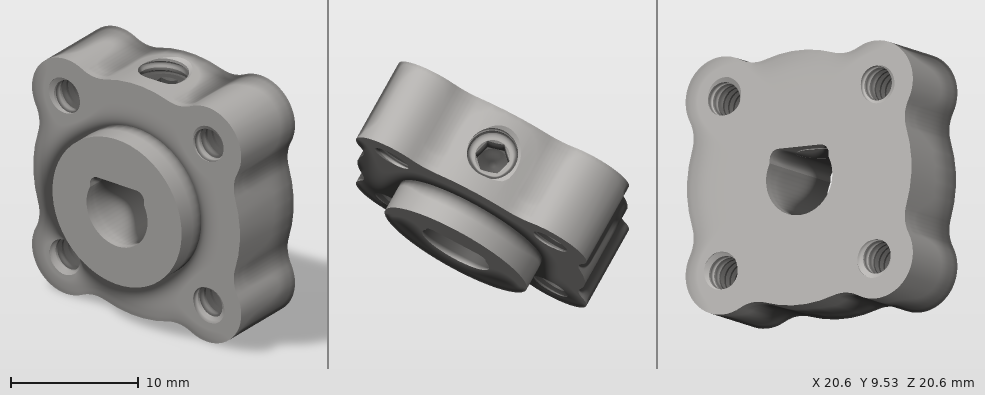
import cadquery as cq
import math

corner_count = 4
corner_step = 360 / corner_count
first_corner_angle = corner_step / 2
hole_circle_radius = 9.78
plate_size = 20.57
corner_radius = plate_size / 2 - hole_circle_radius * math.cos(math.radians(first_corner_angle))
bulge_radius = 10.16
waist_radius = 3.0
plate_thickness = 6.985
boss_diameter = 12.7
boss_height = 2.54
hub_length = plate_thickness + boss_height

bore_diameter = 6.0
bore_flat_height = 2.46
bore_corner_half_width = 2.67
bore_corner_radius = 0.78

thread_pitch = 25.4 / 32
thread_flank_angle = math.radians(30)
thread_root_flat = thread_pitch / 8
thread_overlap = 0.15
corner_minor_diameter = 2.70
corner_major_diameter = 3.505
corner_groove_lead = 12
clamp_minor_diameter = 4.03
clamp_major_diameter = 4.83
clamp_groove_angle = 50

screw_clearance = 0.05
screw_radius = clamp_minor_diameter / 2 - screw_clearance
screw_axis_y = plate_thickness / 2
screw_top = 8.73
screw_bottom = bore_flat_height
hex_half_side_angle = 30
hex_corner_angle = 45 + hex_half_side_angle
hex_width = 2.38
hex_corner_diameter = hex_width / math.cos(math.radians(hex_half_side_angle))
socket_depth = 2.0
socket_tip_half_angle = math.radians(59)
socket_mouth_half_angle = math.radians(45)


def polar(radius, degrees):
    """Coordinates of a point given by its radius and angle."""
    angle = math.radians(degrees)
    return (radius * math.cos(angle), radius * math.sin(angle))


def tap_cutter(minor_diameter, major_diameter, depth):
    """Right-hand tap along Z, reaching below the origin by the depth and above it by one pitch.

    The thread groove crosses Z = 0 on the +X side.
    """
    inner = minor_diameter / 2 - thread_overlap
    outer = major_diameter / 2
    root_half = thread_root_flat / 2
    mouth_half = root_half + (outer - inner) * math.tan(thread_flank_angle)
    turns_below = math.ceil(depth / thread_pitch) + 1
    bottom = -turns_below * thread_pitch
    length = (turns_below + 1) * thread_pitch

    core = cq.Workplane("XY", origin=(0, 0, bottom)).circle(minor_diameter / 2).extrude(length)
    helix = cq.Wire.makeHelix(thread_pitch, length, inner, center=cq.Vector(0, 0, bottom))
    groove = (
        cq.Workplane("XZ")
        .polyline([
            (inner, bottom - mouth_half),
            (outer, bottom - root_half),
            (outer, bottom + root_half),
            (inner, bottom + mouth_half),
        ])
        .close()
        .sweep(cq.Workplane(helix), isFrenet=True)
    )
    return core.union(groove)


def cut_tap(solid, tap, plane):
    """Cut the solid with a tap moved so that its Z axis is the plane's normal."""
    return solid.cut(cq.Workplane(tap.val().moved(plane.location)))


def plate_outline():
    """Square with round corner lobes and bulged edges, joined by tangent hollows."""
    hollow_distance = bulge_radius + waist_radius
    centre_gap = corner_radius + waist_radius
    hollow_offset = math.degrees(math.acos(
        (hole_circle_radius**2 + hollow_distance**2 - centre_gap**2)
        / (2 * hole_circle_radius * hollow_distance)
    ))

    def lobe_tangent(lobe_angle, hollow_angle):
        """Point where a lobe passes into a hollow."""
        lobe = cq.Vector(*polar(hole_circle_radius, lobe_angle))
        hollow = cq.Vector(*polar(hollow_distance, hollow_angle))
        return (lobe + (hollow - lobe) * (corner_radius / centre_gap)).toTuple()[:2]

    first_bulge_start = polar(bulge_radius, first_corner_angle - corner_step + hollow_offset)
    outline = cq.Workplane("XZ").moveTo(*first_bulge_start)
    for corner in range(corner_count):
        lobe_angle = first_corner_angle + corner * corner_step
        hollow_before = lobe_angle - hollow_offset
        hollow_after = lobe_angle + hollow_offset
        bulge_middle = polar(bulge_radius, lobe_angle - corner_step / 2)
        lobe_middle = polar(hole_circle_radius + corner_radius, lobe_angle)
        outline = (
            outline.threePointArc(bulge_middle, polar(bulge_radius, hollow_before))
            .radiusArc(lobe_tangent(lobe_angle, hollow_before), waist_radius)
            .threePointArc(lobe_middle, lobe_tangent(lobe_angle, hollow_after))
            .radiusArc(polar(bulge_radius, hollow_after), waist_radius)
        )
    return outline.close()


def bore_cutter():
    """Round bore flattened on top, with rounded corners standing outside the circle."""
    circle = cq.Workplane("XZ", origin=(0, plate_thickness, 0)).circle(bore_diameter / 2).extrude(hub_length)
    above_flat = (
        cq.Workplane("XZ", origin=(0, plate_thickness, bore_flat_height))
        .rect(bore_diameter, bore_diameter - bore_flat_height)
        .extrude(hub_length)
        .translate((0, 0, (bore_diameter - bore_flat_height) / 2))
    )
    corners = (
        cq.Workplane("XZ", origin=(0, plate_thickness, bore_flat_height / 2))
        .rect(2 * bore_corner_half_width, bore_flat_height)
        .extrude(hub_length)
        .edges("|Y and >Z")
        .fillet(bore_corner_radius)
    )
    return circle.cut(above_flat).union(corners)


def make_hub():
    """Plate and boss with the flatted bore, four tapped corner holes and the clamp screw hole."""
    plate = plate_outline().extrude(-plate_thickness)
    boss = cq.Workplane("XZ").circle(boss_diameter / 2).extrude(boss_height)
    body = plate.union(boss).cut(bore_cutter())

    corner_tap = tap_cutter(corner_minor_diameter, corner_major_diameter, plate_thickness)
    for corner in range(corner_count):
        angle = first_corner_angle + corner * corner_step
        x, z = polar(hole_circle_radius, angle)
        groove_x, groove_z = polar(1, angle + corner_groove_lead)
        front_face = cq.Plane(origin=(x, 0, z), xDir=(groove_x, 0, groove_z), normal=(0, -1, 0))
        body = cut_tap(body, corner_tap, front_face)

    clamp_tap = tap_cutter(clamp_minor_diameter, clamp_major_diameter, bulge_radius - bore_flat_height)
    groove_x, groove_y = polar(1, clamp_groove_angle)
    crown = cq.Plane(
        origin=(0, screw_axis_y, bulge_radius),
        xDir=(groove_x, groove_y, 0),
        normal=(0, 0, 1),
    )
    return cut_tap(body, clamp_tap, crown)


def downward_cone(radius, half_angle, z):
    """Cone on the screw axis with its base at height z and its point below."""
    base = cq.Vector(0, screw_axis_y, z)
    height = radius / math.tan(half_angle)
    return cq.Workplane(cq.Solid.makeCone(radius, 0, height, base, cq.Vector(0, 0, -1)))


def make_clamp_screw():
    """Plain round screw with a countersunk hex socket that ends in a drill point."""
    body = (
        cq.Workplane("XY", origin=(0, screw_axis_y, screw_bottom))
        .circle(screw_radius)
        .extrude(screw_top - screw_bottom)
    )
    socket = (
        cq.Workplane("XY", origin=(0, screw_axis_y, screw_top))
        .transformed(rotate=(0, 0, hex_corner_angle))
        .polygon(6, hex_corner_diameter)
        .extrude(-socket_depth)
    )
    tip = downward_cone(hex_width / 2, socket_tip_half_angle, screw_top - socket_depth)
    countersink = downward_cone(hex_corner_diameter / 2, socket_mouth_half_angle, screw_top)
    return body.cut(socket).cut(tip).cut(countersink)


hub = make_hub()
clamp_screw = make_clamp_screw()
result = cq.Compound.makeCompound([*hub.solids().vals(), *clamp_screw.solids().vals()])